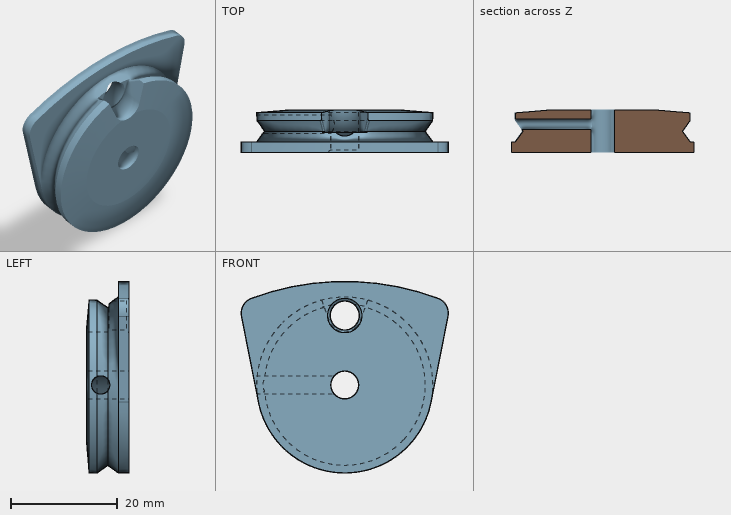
import cadquery as cq
import math

plate_width = 38.8
plate_top = 19.4
plate_thickness = 2.0
corner_radius = 3.0
crown_radius = 49.65

disc_radius = 16.5
groove_radius = 15.05
groove_y = 4.0
rim_start_y = 6.0
rim_end_y = 7.5
disc_end_y = 8.0
flat_radius = 10.48

axle_diameter = 5.15
anchor_diameter = 5.4
anchor_z = 13.0
countersink_diameter = 6.45
countersink_depth = (countersink_diameter - anchor_diameter) / 2
cord_diameter = 3.4
cord_y = 5.3

notch_floor_y = 3.8
notch_radius = 3.05
notch_half_angle = 20.0
notch_edge_radius = 0.3


def polar(center_x, center_z, radius, angle):
    """Point on a circle in the XZ plane, angle in radians from +X."""
    return (center_x + radius * math.cos(angle), center_z + radius * math.sin(angle))


def mirrored(point):
    return (-point[0], point[1])


def extrude_y(sketch, start, end):
    """Extrude an XZ sketch made at Y = 0 so that it spans start to end along Y."""
    return sketch.extrude(start - end).translate((0, start, 0))


def cylinder_y(diameter, z, start, end):
    return extrude_y(cq.Workplane("XZ").center(0, z).circle(diameter / 2), start, end)


def make_plate():
    """Plate with a crowned top, rounded corners and sides tangent to the round bottom."""
    corner_x = plate_width / 2 - corner_radius
    crown_z = plate_top - crown_radius
    corner_z = crown_z + math.sqrt((crown_radius - corner_radius) ** 2 - corner_x**2)

    crown_angle = math.atan2(corner_z - crown_z, corner_x)
    corner_distance = math.hypot(corner_x, corner_z)
    corner_direction = math.atan2(corner_z, corner_x)
    side_angle = corner_direction - math.acos((disc_radius - corner_radius) / corner_distance)

    crown_end = polar(corner_x, corner_z, corner_radius, crown_angle)
    corner_middle = polar(corner_x, corner_z, corner_radius, (crown_angle + side_angle) / 2)
    side_top = polar(corner_x, corner_z, corner_radius, side_angle)
    side_bottom = polar(0, 0, disc_radius, side_angle)

    outline = (
        cq.Workplane("XZ")
        .moveTo(*mirrored(crown_end))
        .threePointArc((0, plate_top), crown_end)
        .threePointArc(corner_middle, side_top)
        .lineTo(*side_bottom)
        .threePointArc((0, -disc_radius), mirrored(side_bottom))
        .lineTo(*mirrored(side_top))
        .threePointArc(mirrored(corner_middle), mirrored(crown_end))
        .close()
    )
    return extrude_y(outline, 0, plate_thickness)


def make_disc():
    """Disc with a V groove and a shallow conical end, overlapping the plate."""
    profile = [
        (0, 0),
        (disc_radius, 0),
        (disc_radius, plate_thickness),
        (groove_radius, groove_y),
        (disc_radius, rim_start_y),
        (disc_radius, rim_end_y),
        (flat_radius, disc_end_y),
        (0, disc_end_y),
    ]
    return cq.Workplane("XY").polyline(profile).close().revolve(360, (0, 0, 0), (0, 1, 0))


def make_notch():
    """Round pocket whose tangent walls spread outward past the rim."""
    half_angle = math.radians(notch_half_angle)
    tangent = polar(0, anchor_z, notch_radius, -half_angle)
    mouth = (tangent[0] + (plate_top - tangent[1]) * math.tan(half_angle), plate_top)
    outline = (
        cq.Workplane("XZ")
        .moveTo(*mouth)
        .lineTo(*tangent)
        .threePointArc((0, anchor_z - notch_radius), mirrored(tangent))
        .lineTo(*mirrored(mouth))
        .close()
    )
    return extrude_y(outline, notch_floor_y, disc_end_y)


def make_notched_disc():
    """Disc with the notch cut out and the notch edges on the groove flanks rounded."""
    flank_edges = cq.selectors.BoxSelector(
        (-disc_radius / 2, notch_floor_y, anchor_z),
        (disc_radius / 2, rim_start_y, disc_radius),
    )
    disc = make_disc().cut(make_notch())
    return disc.edges("%HYPERBOLA").edges(flank_edges).fillet(notch_edge_radius)


def make_countersink():
    cone = cq.Solid.makeCone(
        countersink_diameter / 2,
        anchor_diameter / 2,
        countersink_depth,
        pnt=cq.Vector(0, 0, anchor_z),
        dir=cq.Vector(0, 1, 0),
    )
    return cq.Workplane(cone)


def make_cord_hole():
    """Radial hole from the -X side of the groove into the axle hole."""
    return cq.Workplane("YZ").center(cord_y, 0).circle(cord_diameter / 2).extrude(-plate_width / 2)


result = (
    make_plate()
    .union(make_notched_disc())
    .cut(cylinder_y(axle_diameter, 0, 0, disc_end_y))
    .cut(cylinder_y(anchor_diameter, anchor_z, 0, disc_end_y))
    .cut(make_countersink())
    .cut(make_cord_hole())
)